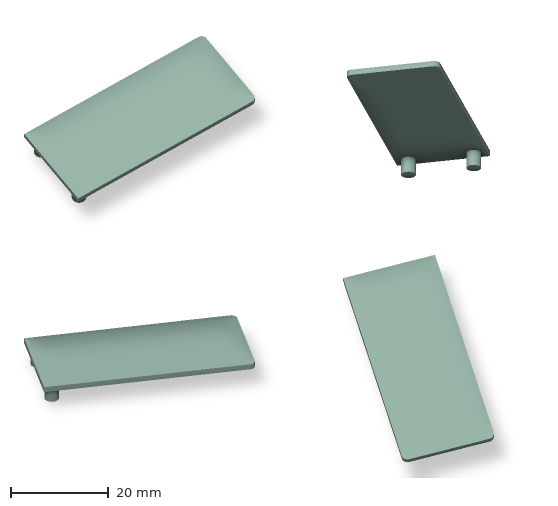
import cadquery as cq

plate_width = 19.6
plate_length = 44.3
plate_thickness = 1.2
corner_radius = 1.2

total_height = 4.6
pin_diameter = 3.0
pin_spacing = 13.75
pin_front_offset = 2.2
pin_length = total_height - plate_thickness

plate = (
    cq.Workplane("XY")
    .box(plate_width, plate_length, plate_thickness, centered=(True, True, False))
    .edges("|Z and >Y")
    .fillet(corner_radius)
)

pin_y = pin_front_offset - plate_length / 2
pin_centres = [(side * pin_spacing / 2, pin_y) for side in (-1, 1)]
pins = (
    cq.Workplane("XY")
    .pushPoints(pin_centres)
    .circle(pin_diameter / 2)
    .extrude(-pin_length)
)

result = plate.union(pins)